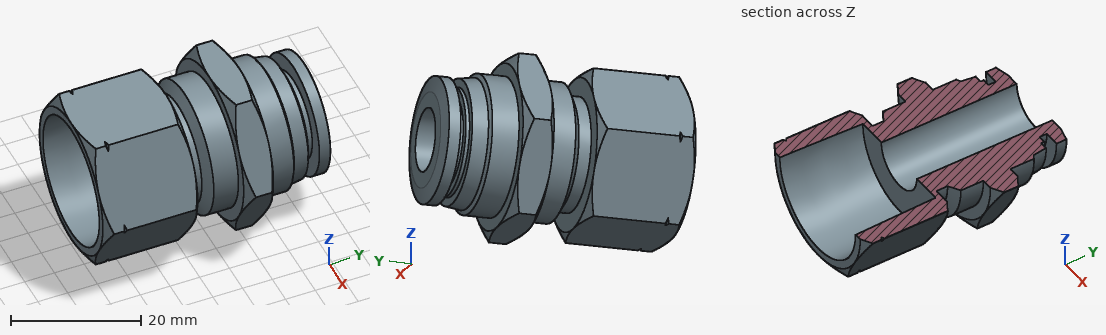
import cadquery as cq
import math

LENGTH = 39.85
COS_30 = math.cos(math.radians(30))
HEX_CHAMFER_ANGLE = 30.0

SOCKET_FLATS = 24.0
SOCKET_LENGTH = 15.98

NUT_FLATS = 26.0
NUT_START = 23.27
NUT_LENGTH = 5.02

NECK_RADIUS = 9.05
NECK_END = 17.97
BODY_RADIUS = 11.0
BODY_START = 19.13
BODY_END = 32.6
SLEEVE_START = 33.0
SLEEVE_BASE_RADIUS = 10.3
SLEEVE_TIP_RADIUS = 9.92
SLEEVE_END = 35.5
STEP_RADIUS = 8.55
STEP_END = 36.1

STEM_RADIUS = 7.25
COLLAR_RADIUS = 9.95
COLLAR_START = 37.38
COLLAR_EDGE = 39.25
COLLAR_TIP_RADIUS = 7.45

HOLE_RADIUS = 5.0
BORE_MOUTH_RADIUS = 10.65
BORE_DEPTH = 14.95
BORE_END_RADIUS = BORE_MOUTH_RADIUS - BORE_DEPTH / 32

NOTCH_Y = 3.0
NOTCH_WIDTH = 0.5
NOTCH_DEPTH = 0.45


def revolve_profile(points):
    """Revolve a closed (radius, y) outline about the Y axis."""
    return cq.Workplane("XY").polyline(points).close().revolve(360, (0, 0), (0, 1))


def chamfered_hexagon(flats, start, length):
    """Hexagon along Y with corners on X, its corners turned off at both ends."""
    end = start + length
    corner_radius = flats / 2 / COS_30
    flat_radius = flats / 2
    chamfer = (corner_radius - flat_radius) * math.tan(math.radians(HEX_CHAMFER_ANGLE))
    hexagon = (
        cq.Workplane("XZ", origin=(0, start, 0))
        .polygon(6, 2 * corner_radius)
        .extrude(-length)
    )
    turned = revolve_profile([
        (0, start),
        (flat_radius, start),
        (corner_radius, start + chamfer),
        (corner_radius, end - chamfer),
        (flat_radius, end),
        (0, end),
    ])
    return hexagon.intersect(turned)


def round_body():
    """Neck, threaded barrel, tapered sleeve and release collar."""
    return revolve_profile([
        (0, SOCKET_LENGTH),
        (NECK_RADIUS, SOCKET_LENGTH),
        (NECK_RADIUS, NECK_END),
        (BODY_RADIUS, BODY_START),
        (BODY_RADIUS, BODY_END),
        (SLEEVE_BASE_RADIUS, SLEEVE_START),
        (SLEEVE_TIP_RADIUS, SLEEVE_END),
        (STEP_RADIUS, SLEEVE_END),
        (STEP_RADIUS, STEP_END),
        (STEM_RADIUS, STEP_END),
        (STEM_RADIUS, COLLAR_START),
        (COLLAR_RADIUS, COLLAR_START),
        (COLLAR_RADIUS, COLLAR_EDGE),
        (COLLAR_TIP_RADIUS, LENGTH),
        (0, LENGTH),
    ])


def bores():
    """Tapered thread bore and the through hole behind it."""
    return revolve_profile([
        (0, 0),
        (BORE_MOUTH_RADIUS, 0),
        (BORE_END_RADIUS, BORE_DEPTH),
        (HOLE_RADIUS, BORE_DEPTH),
        (HOLE_RADIUS, LENGTH),
        (0, LENGTH),
    ])


def corner_notches():
    """V-shaped ring that only reaches the corners of the socket."""
    corner_radius = SOCKET_FLATS / 2 / COS_30
    return revolve_profile([
        (corner_radius - NOTCH_DEPTH, NOTCH_Y),
        (corner_radius, NOTCH_Y - NOTCH_WIDTH / 2),
        (corner_radius, NOTCH_Y + NOTCH_WIDTH / 2),
    ])


socket = chamfered_hexagon(SOCKET_FLATS, 0, SOCKET_LENGTH).cut(corner_notches())
nut = chamfered_hexagon(NUT_FLATS, NUT_START, NUT_LENGTH)
result = round_body().union(socket).union(nut).cut(bores())